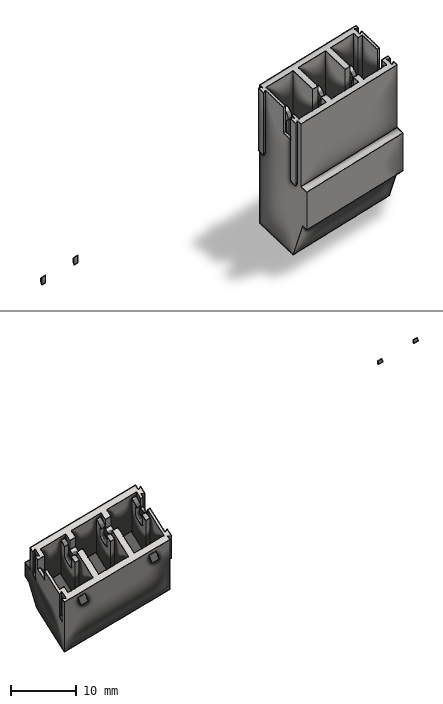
import cadquery as cq


height = 33.0
upper_width = 10.1
lower_width = 11.55
foot_width = 8.2
slope_top_width = 10.5
depth = 19.0
step_height = 18.05
slope_height = step_height / 2

cell_count = 3
side_wall = 1.0
end_wall = 0.445
partition = 1.0
cell_floor = slope_height
cell_width = upper_width - 2 * side_wall
cell_depth = (depth - 2 * end_wall - (cell_count - 1) * partition) / cell_count
cell_pitch = cell_depth + partition

slot_left = 5.8
slot_width = 2.05
slot_right = slot_left + slot_width
slot_middle = slot_left + slot_width / 2
slot_floor = 26.9

rail_middles = (1.0, 8.9)
rail_width = 1.3
rail_root_width = 0.75
rail_height = 0.55
rail_length = height - step_height
groove_backing = 0.8
left_backing_end = 2.1
right_backing_start = slot_right

total_width = 12.5
hook_reach = total_width - lower_width
hook_bottom = 29.0
hook_top = 30.75
hook_width = 1.3
hook_inset = 2.45

prong_width = 1.0
fork_left = slot_left - prong_width
fork_right = slot_right + prong_width
fork_gap = 0.2
fork_thickness = 0.75
notch_radius = slot_width / 2
notch_bottom_middle = 24.6

head_radius = 1.4
head_middle = 30.2

total_depth = 68.35
loose_count = 2
loose_start = depth - total_depth


def box_between(x_range, y_range, z_range):
    """Axis-aligned block between three pairs of limits."""
    corner = (x_range[0], y_range[0], z_range[0])
    sizes = [limits[1] - limits[0] for limits in (x_range, y_range, z_range)]
    return cq.Workplane("XY").box(*sizes, centered=False).translate(corner)


def extrude_along_y(profile, start, length):
    """Extrude a closed XZ profile from Y = start toward +Y."""
    return profile.extrude(-length).translate((0, start, 0))


def cell_start(index):
    return end_wall + index * cell_pitch


def fork_start(index):
    return cell_start(index) + fork_gap


def housing_block():
    outline = (
        cq.Workplane("XZ")
        .polyline([
            (0, 0),
            (foot_width, 0),
            (slope_top_width, slope_height),
            (lower_width, slope_height),
            (lower_width, step_height),
            (upper_width, step_height),
            (upper_width, height),
            (0, height),
        ])
        .close()
    )
    return extrude_along_y(outline, 0, depth)


def cell(index):
    start = cell_start(index)
    return box_between(
        (side_wall, side_wall + cell_width), (start, start + cell_depth), (cell_floor, height)
    )


def groove_backings():
    back_face = depth - end_wall
    y_range = (back_face - groove_backing, back_face)
    z_range = (cell_floor, height)
    left = box_between((side_wall, left_backing_end), y_range, z_range)
    right = box_between((right_backing_start, upper_width - side_wall), y_range, z_range)
    return left.union(right)


def wall_slot():
    return box_between((slot_left, slot_right), (0, depth), (slot_floor, height))


def dovetail(middle, face):
    """Dovetail bar whose wide side lies at Y = face - rail_height and whose root lies at Y = face."""
    return (
        cq.Workplane("XY", origin=(middle, face, step_height))
        .polyline([
            (-rail_root_width / 2, 0),
            (-rail_width / 2, -rail_height),
            (rail_width / 2, -rail_height),
            (rail_root_width / 2, 0),
        ])
        .close()
        .extrude(rail_length)
    )


def hook(start):
    profile = (
        cq.Workplane("XZ")
        .polyline([(0, hook_top), (-hook_reach, hook_bottom), (0, hook_bottom)])
        .close()
    )
    return extrude_along_y(profile, start, hook_width)


def cylinder_along_y(middle_x, middle_z, radius, start):
    """Disc as thick as a fork, starting at Y = start."""
    profile = cq.Workplane("XZ").center(middle_x, middle_z).circle(radius)
    return extrude_along_y(profile, start, fork_thickness)


def fork_space(x_start, x_end, z_start, z_end, start):
    """Block as thick as a fork, starting at Y = start."""
    return box_between((x_start, x_end), (start, start + fork_thickness), (z_start, z_end))


def bump(start):
    """Contact bump of a right prong: the disc segment that lies inside the notch."""
    disc = cylinder_along_y(fork_right, head_middle, head_radius, start)
    notch = fork_space(slot_left, slot_right, slot_floor, height, start)
    return disc.intersect(notch)


def fork(start):
    """Two-pronged contact with half-disc prong heads and a round-bottomed notch."""
    plate = fork_space(fork_left, fork_right, cell_floor, head_middle, start)
    notch = fork_space(slot_left, slot_right, notch_bottom_middle, head_middle, start)
    notch_bottom = cylinder_along_y(slot_middle, notch_bottom_middle, notch_radius, start)
    body = plate.cut(notch).cut(notch_bottom)
    head_space = fork_space(fork_left, fork_right, slot_floor, height, start)
    for outer_edge in (fork_left, fork_right):
        disc = cylinder_along_y(outer_edge, head_middle, head_radius, start)
        body = body.union(disc.intersect(head_space))
    return body


def make_housing():
    body = housing_block()
    for index in range(cell_count):
        body = body.cut(cell(index))
    body = body.union(groove_backings()).cut(wall_slot())
    for middle in rail_middles:
        body = body.union(dovetail(middle, 0))
        body = body.cut(dovetail(middle, depth))
    for start in (hook_inset, depth - hook_inset - hook_width):
        body = body.union(hook(start))
    for index in range(cell_count):
        body = body.union(fork(fork_start(index)))
    return body.cut(bump(fork_start(cell_count - 1)))


housing = make_housing()
loose_bumps = [bump(loose_start + index * cell_pitch) for index in range(loose_count)]

result = cq.Compound.makeCompound([housing.val(), *[piece.val() for piece in loose_bumps]])